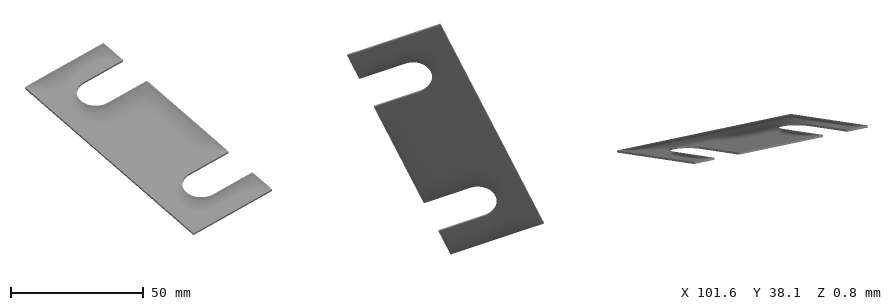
import cadquery as cq

length = 101.6
width = 38.1
thickness = 0.8

slot_width = 14.3
slot_spacing = 63.5
slot_radius = slot_width / 2
slot_end_y = 0.0
back_edge_y = width / 2


def slot_cutter(center_x):
    """Solid that removes one round-ended slot through the plate."""
    left_x = center_x - slot_radius
    right_x = center_x + slot_radius
    return (
        cq.Workplane("XY")
        .moveTo(left_x, back_edge_y)
        .lineTo(left_x, slot_end_y)
        .threePointArc((center_x, slot_end_y - slot_radius), (right_x, slot_end_y))
        .lineTo(right_x, back_edge_y)
        .close()
        .extrude(thickness)
    )


result = cq.Workplane("XY").box(length, width, thickness, centered=(True, True, False))
for side in (-1, 1):
    result = result.cut(slot_cutter(side * slot_spacing / 2))